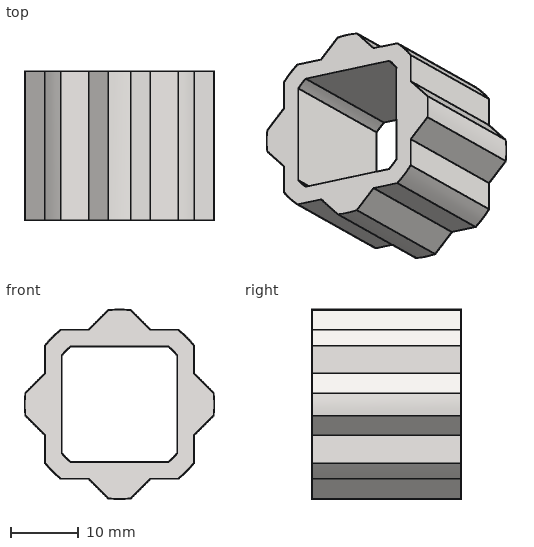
import cadquery as cq

length = 22.0
star_square = 22.0
star_turn_angle = 45.0
outer_diameter = 28.0
bore_square = 17.0
bore_corner_diameter = 22.3


def square_prism(side):
    """Square prism centred on the origin, running along Y."""
    return cq.Workplane("XY").box(side, length, side)


def cylinder(diameter):
    """Cylinder centred on the origin, running along Y."""
    return cq.Workplane("XZ").circle(diameter / 2).extrude(length / 2, both=True)


def star_body():
    """Two square prisms, one turned about Y, with their points rounded off."""
    upright = square_prism(star_square)
    turned = square_prism(star_square).rotate((0, 0, 0), (0, 1, 0), star_turn_angle)
    return upright.union(turned).intersect(cylinder(outer_diameter))


def bore():
    """Full-length square bore with its corners rounded to the smaller circle."""
    return square_prism(bore_square).intersect(cylinder(bore_corner_diameter))


result = star_body().cut(bore())